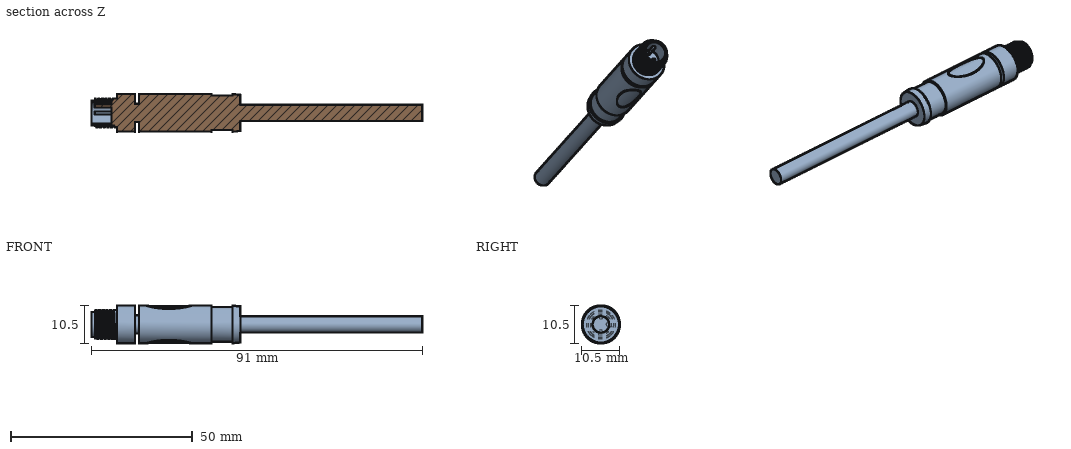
import cadquery as cq
import math

total_length = 91.0
body_radius = 5.23

tip_end = 1.0
nut_start = 7.0
nut_end = 12.0
sleeve_start = 13.0
sleeve_end = 33.0
flange_start = 38.8
flange_end = 40.9

tip_radius = 3.5
thread_radius = 4.0
neck_radius = 2.55
waist_radius = 4.8
flange_rear_radius = 5.0
cable_radius = 2.3

thread_pitch = 1.0
thread_root_radius = 3.55
groove_start = 0.3
groove_length = 6.0
groove_overcut = 0.1
flank_half_angle = 30.0
root_flat = thread_pitch / 4

socket_radius = 2.9
socket_depth = 5.5
pin_radius = 0.5
pin_circle_radius = 1.9
pin_setback = 0.8
pin_angles = (0, 90, 180)

label_center = 21.3
label_half_length = 6.1
label_half_width = 2.7
label_depth = 0.2


def turned_body():
    """Revolve the stepped outline about the X axis."""
    outline = [
        (0, 0),
        (0, tip_radius),
        (tip_end, tip_radius),
        (tip_end, thread_radius),
        (nut_start, thread_radius),
        (nut_start, body_radius),
        (nut_end, body_radius),
        (nut_end, neck_radius),
        (sleeve_start, neck_radius),
        (sleeve_start, body_radius),
        (sleeve_end, body_radius),
        (sleeve_end, waist_radius),
        (flange_start, waist_radius),
        (flange_start, body_radius),
        (flange_end, flange_rear_radius),
        (flange_end, cable_radius),
        (total_length, cable_radius),
        (total_length, 0),
    ]
    return cq.Workplane("XY").polyline(outline).close().revolve(360, (0, 0), (1, 0))


def thread_groove():
    """Right-hand V groove, swept down -Z from the -X side and then laid along +X."""
    outer_radius = thread_radius + groove_overcut
    flank_run = (outer_radius - thread_root_radius) * math.tan(math.radians(flank_half_angle))
    root_half = root_flat / 2
    outer_half = root_half + flank_run
    helix = cq.Wire.makeHelix(
        thread_pitch, groove_length, thread_root_radius, dir=cq.Vector(0, 0, -1)
    )
    groove = (
        cq.Workplane("XZ")
        .polyline([
            (-thread_root_radius, -root_half),
            (-outer_radius, -outer_half),
            (-outer_radius, outer_half),
            (-thread_root_radius, root_half),
        ])
        .close()
        .sweep(cq.Workplane(obj=helix), isFrenet=True)
    )
    laid_groove = groove.rotate((0, 0, 0), (0, 1, 0), -90)
    return laid_groove.translate((groove_start, 0, 0))


def socket():
    return cq.Workplane("YZ").circle(socket_radius).extrude(socket_depth)


def contact_pins():
    """Pins with hemispherical noses, standing on the socket floor, rooted in the plug behind it."""
    shank_start = pin_setback + pin_radius
    pin_root = nut_start
    centers = [
        (
            pin_circle_radius * math.sin(math.radians(angle)),
            pin_circle_radius * math.cos(math.radians(angle)),
        )
        for angle in pin_angles
    ]
    layout = cq.Workplane("YZ", origin=(shank_start, 0, 0)).pushPoints(centers)
    shanks = layout.circle(pin_radius).extrude(pin_root - shank_start)
    noses = layout.sphere(pin_radius)
    return shanks.union(noses)


def label_recesses():
    """Cutters for the elliptical recesses, top and bottom, with floors concentric to the sleeve."""
    ellipse = (
        cq.Workplane("XY", origin=(label_center, 0, -body_radius))
        .ellipse(label_half_length, label_half_width)
        .extrude(2 * body_radius)
    )
    core = (
        cq.Workplane("YZ", origin=(sleeve_start, 0, 0))
        .circle(body_radius - label_depth)
        .extrude(sleeve_end - sleeve_start)
    )
    return ellipse.cut(core)


result = (
    turned_body()
    .cut(thread_groove())
    .cut(socket())
    .union(contact_pins())
    .cut(label_recesses())
)